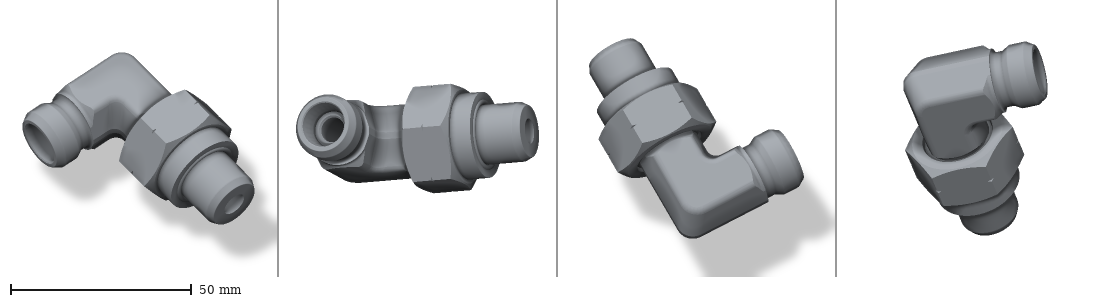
import cadquery as cq
import math



def tan(degrees):
    return math.tan(math.radians(degrees))


def sin(degrees):
    return math.sin(math.radians(degrees))


def cos(degrees):
    return math.cos(math.radians(degrees))


half_width = 9.0
half_height = 9.5
side_flat_half = 0.95
flank_angle = 20.0
outer_corner_radius = 4.7
inner_corner_radius = 2.9
rim_fillet = 2.0
x_arm_length = 17.7
y_arm_length = 17.0
flank_height = half_height - side_flat_half
top_half_width = half_width - flank_height * tan(flank_angle)

collar_radius = math.hypot(half_width, side_flat_half)
collar_width = 0.6
shoulder_angle = 45.0
shoulder_fillet = 0.9
trim_radius = 15.0

thread_radius = 9.0
groove_radius = 7.8
groove_fillet = 0.9
groove_end = 20.05
thread_cone_angle = 30.0
tube_end = 29.0
tube_tip_radius = 7.6
tube_tip_length = 2.25

thread_edge_fillet = 0.6
tip_fillet = 0.2

mouth_radius = 6.5
mouth_chamfer = 0.3
seat_radius = 5.1
seat_half_angle = 12.0
taper_depth = mouth_chamfer + (mouth_radius - mouth_chamfer - seat_radius) / tan(seat_half_angle)
seat_depth = 7.0
bore_radius = 3.5
y_bore_depth = 0.84
bore_chamfer = 0.5
drill_point_angle = 118.0
drill_point = bore_radius / tan(drill_point_angle / 2)

nut_start = 17.0
nut_width = 14.0
nut_end = nut_start + nut_width
nut_across_flats = 27.0
nut_corner_radius = nut_across_flats / 2 / cos(30)
nut_face_radius = 13.1
nut_chamfer_angle = 30.0
nut_chamfer = (nut_corner_radius - nut_face_radius) * tan(nut_chamfer_angle)
nut_bore_radius = 10.125
nut_bore_chamfer = 0.15
mark_depth = 0.6
mark_half_width = 0.3

spigot_radius = 9.77
spigot_chamfer = 0.4
spigot_end = 24.0

stud_collar_radius = 23.95 / 2
stud_collar_end = 37.0
stud_radius = 16.66 / 2
stud_end = 50.0
stud_tip_radius = 14.6 / 2
stud_tip_length = 2.1

seal_radius = 19.64 / 2
seal_depth = 1.5
seal_lip = 0.4


def spin(profile):
    """Revolve a closed (axial, radius) profile about the X axis."""
    return profile.close().revolve(360, (0, 0, 0), (1, 0, 0))


def spin_points(points):
    """Solid of revolution about the X axis from straight-sided (axial, radius) points."""
    return spin(cq.Workplane("XY").polyline(points))


def disc(start, end, radius):
    """Cylinder on the X axis between two axial positions."""
    return cq.Workplane("YZ").workplane(offset=start).circle(radius).extrude(end - start)


def ring_at(position):
    """Selector for circular edges centred on the X axis at one axial position."""
    reach = 0.01
    return cq.selectors.BoxSelector((position - reach,) + (-reach,) * 2, (position + reach,) + (reach,) * 2)


def onto_y_arm(shape):
    """Swing a shape from the +X axis onto the -Y axis."""
    return shape.rotate((0, 0, 0), (0, 0, 1), -90)


def block_outline(plane, width):
    """L-shaped outline with arms of the given half width and rounded outer and inner corners."""
    outer = outer_corner_radius
    inner = inner_corner_radius
    outer_mid = width - outer * (1 - cos(45))
    inner_mid = width + inner * (1 - cos(45))
    return (
        plane.moveTo(x_arm_length, width)
        .lineTo(outer - width, width)
        .threePointArc((-outer_mid, outer_mid), (-width, width - outer))
        .lineTo(-width, -y_arm_length)
        .lineTo(width, -y_arm_length)
        .lineTo(width, -width - inner)
        .threePointArc((inner_mid, -inner_mid), (width + inner, -width))
        .lineTo(x_arm_length, -width)
        .close()
    )


def block():
    """Mid slab with upright sides, plus sloping upper and lower parts with rounded rims."""
    mid_plane = cq.Workplane("XY").workplane(offset=-side_flat_half)
    mid_slab = block_outline(mid_plane, half_width).extrude(2 * side_flat_half)

    base = block_outline(cq.Workplane("XY").workplane(offset=side_flat_half), half_width)
    upper = block_outline(base.workplane(offset=flank_height), top_half_width).loft(ruled=True)
    along_arms = cq.selectors.BoxSelector(
        (-2 * half_width, -y_arm_length + rim_fillet / 2, 0),
        (x_arm_length - rim_fillet / 2, 2 * half_width, 2 * half_height),
    )
    upper = upper.faces(">Z").edges(along_arms).fillet(rim_fillet)
    return mid_slab.union(upper).union(upper.mirror("XY"))


def arm_end_trim(arm_length):
    """Ring cut from an arm end: leaves a round collar, a hollow fillet and a conical shoulder."""
    fillet_start = arm_length - collar_width
    fillet_center_radius = collar_radius + shoulder_fillet

    def fillet_point(angle):
        return (
            fillet_start - shoulder_fillet * sin(angle),
            fillet_center_radius - shoulder_fillet * cos(angle),
        )

    cone_start = fillet_point(shoulder_angle)
    cone_end = cone_start[0] - (trim_radius - cone_start[1]) / tan(shoulder_angle)
    profile = (
        cq.Workplane("XY")
        .moveTo(arm_length, collar_radius)
        .lineTo(fillet_start, collar_radius)
        .threePointArc(fillet_point(shoulder_angle / 2), cone_start)
        .lineTo(cone_end, trim_radius)
        .lineTo(arm_length, trim_radius)
    )
    return spin(profile)


def tube_end_shape():
    """Grooved and threaded tube end with a rounded groove and softened thread edges."""
    groove_start = y_arm_length + groove_fillet
    thread_start = groove_end + (thread_radius - groove_radius) / tan(thread_cone_angle)
    fillet_mid = (
        groove_start - groove_fillet * sin(45),
        groove_radius + groove_fillet * (1 - cos(45)),
    )
    profile = (
        cq.Workplane("XY")
        .moveTo(y_arm_length, 0)
        .lineTo(y_arm_length, groove_radius + groove_fillet)
        .threePointArc(fillet_mid, (groove_start, groove_radius))
        .lineTo(groove_end, groove_radius)
        .lineTo(thread_start, thread_radius)
        .lineTo(tube_end - tube_tip_length, thread_radius)
        .lineTo(tube_end, tube_tip_radius)
        .lineTo(tube_end, 0)
    )
    shape = spin(profile)
    for position in (groove_end, thread_start, tube_end - tube_tip_length):
        shape = shape.edges(ring_at(position)).fillet(thread_edge_fillet)
    return shape.edges(ring_at(tube_end)).fillet(tip_fillet)


def drilled_bore(bottom, end):
    """Bore drilled from an arm end down to the given bottom, finishing in a drill point."""
    return spin_points([(bottom - drill_point, 0), (bottom, bore_radius), (end, bore_radius), (end, 0)])


def tube_seat():
    """Chamfered mouth, tapered tube seat and the chamfer that leads from its floor into the bore."""
    floor = tube_end - seat_depth
    points = [
        (tube_end, 0),
        (tube_end, mouth_radius),
        (tube_end - mouth_chamfer, mouth_radius - mouth_chamfer),
        (tube_end - taper_depth, seat_radius),
        (floor, seat_radius),
        (floor, bore_radius + bore_chamfer),
        (floor - bore_chamfer, bore_radius),
        (floor - bore_chamfer, 0),
    ]
    return spin_points(points)


def make_elbow():
    body = block().cut(arm_end_trim(x_arm_length)).cut(onto_y_arm(arm_end_trim(y_arm_length)))
    body = body.union(onto_y_arm(tube_end_shape()))
    spigot = disc(x_arm_length, spigot_end, spigot_radius).faces("<X").chamfer(spigot_chamfer)
    body = body.union(spigot)
    body = body.cut(drilled_bore(0, spigot_end))
    return body.cut(onto_y_arm(drilled_bore(y_bore_depth, tube_end))).cut(onto_y_arm(tube_seat()))


def make_nut():
    """Hexagon with flats up and down, chamfered on both faces and notched on its corners."""
    hexagon = cq.Workplane("YZ").workplane(offset=nut_start).polygon(6, 2 * nut_corner_radius).extrude(nut_width)
    chamfered_disc = spin_points([
        (nut_start, 0),
        (nut_start, nut_face_radius),
        (nut_start + nut_chamfer, nut_corner_radius),
        (nut_end - nut_chamfer, nut_corner_radius),
        (nut_end, nut_face_radius),
        (nut_end, 0),
    ])
    middle = (nut_start + nut_end) / 2
    corner_notches = spin_points([
        (middle - mark_half_width, nut_corner_radius),
        (middle, nut_corner_radius - mark_depth),
        (middle + mark_half_width, nut_corner_radius),
    ])
    body = hexagon.intersect(chamfered_disc).cut(corner_notches)
    body = body.cut(disc(nut_start, nut_end, nut_bore_radius))
    return body.faces("<X").edges(cq.selectors.RadiusNthSelector(0)).chamfer(nut_bore_chamfer)


def make_stud():
    """Pilot inside the nut, collar with a seal recess, and a threaded end with a tapered tip."""
    recess_floor = stud_collar_end - seal_depth
    shape = spin_points([
        (spigot_end, bore_radius),
        (spigot_end, nut_bore_radius),
        (nut_end, nut_bore_radius),
        (nut_end, stud_collar_radius),
        (stud_collar_end, stud_collar_radius),
        (stud_collar_end, seal_radius),
        (recess_floor, seal_radius),
        (recess_floor, stud_radius),
        (stud_end - stud_tip_length, stud_radius),
        (stud_end, stud_tip_radius),
        (stud_end, bore_radius),
    ])
    shape = shape.edges(ring_at(stud_end - stud_tip_length)).fillet(thread_edge_fillet)
    return shape.faces(">X").edges(cq.selectors.RadiusNthSelector(-1)).fillet(tip_fillet)


def make_seal_ring():
    """Ring filling the collar recess, with a rounded lip standing proud of the collar face."""
    recess_floor = stud_collar_end - seal_depth
    lip_crest = (stud_collar_end + seal_lip, (seal_radius + stud_radius) / 2)
    profile = (
        cq.Workplane("XY")
        .moveTo(recess_floor, stud_radius)
        .lineTo(recess_floor, seal_radius)
        .lineTo(stud_collar_end, seal_radius)
        .threePointArc(lip_crest, (stud_collar_end, stud_radius))
    )
    return spin(profile)


elbow = make_elbow()
nut = make_nut()
stud = make_stud()
seal_ring = make_seal_ring()

result = cq.Compound.makeCompound([elbow.val(), nut.val(), stud.val(), seal_ring.val()])